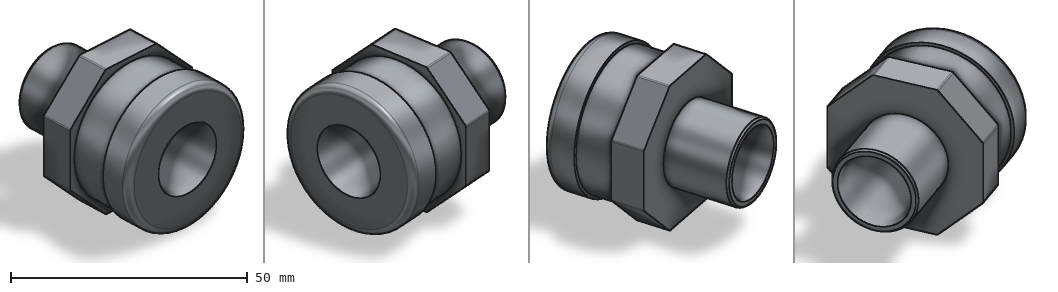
import cadquery as cq

total_length = 41.05
spigot_length = 16.0
octagon_length = 8.0
collar_length = 9.5
rim_length = total_length - spigot_length - octagon_length - collar_length

bore_diameter = 17.0
spigot_diameter = 20.0
octagon_across_flats = 36.0
collar_diameter = 33.5
rim_diameter = 35.0

spigot_chamfer_length = 0.5
spigot_chamfer_depth = 0.38
octagon_edge_radius = 0.5
rim_edge_radius = 1.75

octagon_start = spigot_length
collar_start = octagon_start + octagon_length
rim_start = collar_start + collar_length


def plane_at(x):
    """Plane across the part axis at the given X, with its normal along +X."""
    return cq.Workplane("YZ", origin=(x, 0, 0))


def cylinder(x, diameter, length):
    """Cylinder on the part axis that starts at the given X and runs towards +X."""
    return plane_at(x).circle(diameter / 2).extrude(length)


def make_spigot():
    """Plain tube end with a lead-in chamfer, slightly longer than it is deep."""
    spigot = cylinder(0, spigot_diameter, spigot_length)
    return spigot.faces("<X").edges().chamfer(spigot_chamfer_length, spigot_chamfer_depth)


def make_octagon():
    """Regular octagon with flats facing Y and Z and its long edges rounded."""
    square = plane_at(octagon_start).rect(octagon_across_flats, octagon_across_flats).extrude(octagon_length)
    turned_square = square.rotate((0, 0, 0), (1, 0, 0), 45)
    return square.intersect(turned_square).edges("|X").fillet(octagon_edge_radius)


def make_collar():
    """Plain round body between the octagon and the rim."""
    return cylinder(collar_start, collar_diameter, collar_length)


def make_rim():
    """Raised end band with a rounded outer edge."""
    rim = cylinder(rim_start, rim_diameter, rim_length)
    return rim.faces(">X").edges().fillet(rim_edge_radius)


def make_bore():
    """Straight hole through the whole part."""
    return cylinder(0, bore_diameter, total_length)


body = make_spigot().union(make_octagon()).union(make_collar()).union(make_rim())
result = body.cut(make_bore())